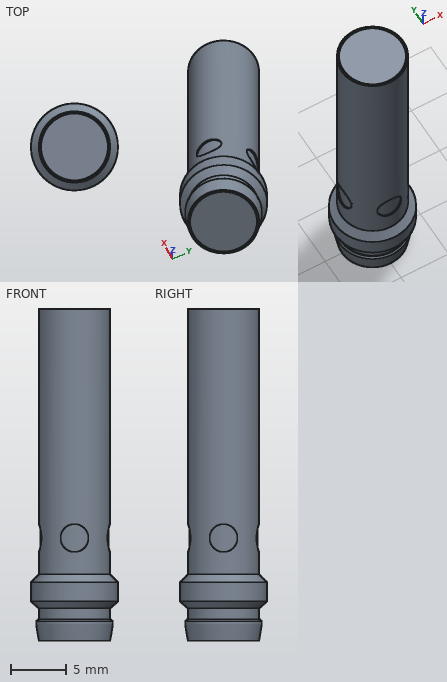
import cadquery as cq

LENGTH = 30.0
SLEEVE_DIAMETER = 6.45
SLEEVE_RADIUS = SLEEVE_DIAMETER / 2
SLEEVE_WALL = 0.12
LINER_WALL = 0.1
LINER_RADIUS = SLEEVE_RADIUS - SLEEVE_WALL
CORE_RADIUS = LINER_RADIUS - LINER_WALL

COLLAR_DIAMETER = 7.9
COLLAR_RADIUS = COLLAR_DIAMETER / 2
COLLAR_BOTTOM = 2.95
COLLAR_TOP = 6.03
COLLAR_LOWER_CHAMFER_HEIGHT = 0.63
COLLAR_UPPER_CHAMFER_HEIGHT = 0.72

LIP_RADIUS = 3.48
LIP_HEIGHT = 1.95
LIP_CHAMFER = 0.18
LIP_BAND = 0.25
LIP_FOOT_RADIUS = SLEEVE_RADIUS
LIP_BULGE = 0.015

HOLE_RADIUS = 1.25
HOLE_HEIGHT = 9.3


def make_core():
    """Plain rod along the axis."""
    return cq.Workplane("XY").circle(CORE_RADIUS).extrude(LENGTH)


def make_liner():
    """Thin tube between the core and the sleeve."""
    return cq.Workplane("XY").circle(LINER_RADIUS).circle(CORE_RADIUS).extrude(LENGTH)


def make_sleeve_blank():
    """Turned sleeve with a bulged tapered lip and a chamfered collar."""
    band_top = LIP_HEIGHT - LIP_CHAMFER
    band_bottom = band_top - LIP_BAND
    taper_middle = ((LIP_RADIUS + LIP_FOOT_RADIUS) / 2 + LIP_BULGE, band_bottom / 2)
    return (
        cq.Workplane("XZ")
        .moveTo(LINER_RADIUS, 0)
        .lineTo(LIP_FOOT_RADIUS, 0)
        .threePointArc(taper_middle, (LIP_RADIUS, band_bottom))
        .lineTo(LIP_RADIUS, band_top)
        .lineTo(LIP_RADIUS - LIP_CHAMFER, LIP_HEIGHT)
        .lineTo(SLEEVE_RADIUS, LIP_HEIGHT)
        .lineTo(SLEEVE_RADIUS, COLLAR_BOTTOM)
        .lineTo(COLLAR_RADIUS, COLLAR_BOTTOM + COLLAR_LOWER_CHAMFER_HEIGHT)
        .lineTo(COLLAR_RADIUS, COLLAR_TOP - COLLAR_UPPER_CHAMFER_HEIGHT)
        .lineTo(SLEEVE_RADIUS, COLLAR_TOP)
        .lineTo(SLEEVE_RADIUS, LENGTH)
        .lineTo(LINER_RADIUS, LENGTH)
        .close()
        .revolve(360, (0, 0, 0), (0, 1, 0))
    )


def make_sleeve():
    """Sleeve with four round windows, opposite pairs along X and Y."""
    sleeve = make_sleeve_blank()
    for plane in ("XZ", "YZ"):
        drill = (
            cq.Workplane(plane)
            .center(0, HOLE_HEIGHT)
            .circle(HOLE_RADIUS)
            .extrude(COLLAR_RADIUS, both=True)
        )
        sleeve = sleeve.cut(drill)
    return sleeve


core = make_core()
liner = make_liner()
sleeve = make_sleeve()

result = cq.Compound.makeCompound([core.val(), liner.val(), sleeve.val()])